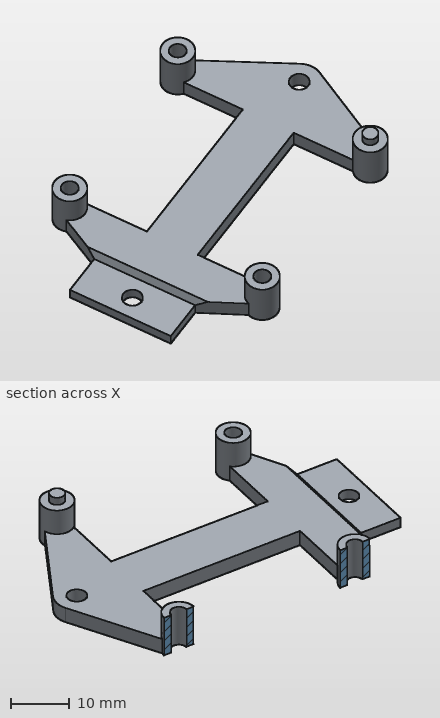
import cadquery as cq
import math

length = 63.0
width = 44.1

boss_diameter = 6.0
boss_height = 8.0
boss_bore = 3.0
pin_diameter = 2.8
pin_top = 9.5
boss_x = (width - boss_diameter) / 2
rear_boss_y = 19.15
front_boss_y = -16.45

plate_thickness = 3.0
spar_width = 10.1
rear_arm_edge_y = 17.25
front_arm_edge_y = -14.35

rear_slope_offset = 2.5
front_slope_offset = 2.25

tip_radius = 4.05
tip_y = length / 2 - tip_radius
mount_hole_diameter = 3.5

tab_thickness = 2.0
tab_width = 20.0
tab_end_y = -length / 2
tab_hole_y = -27.5
ramp_bottom_y = -23.5
ramp_run = plate_thickness - tab_thickness


def plate_outline():
    """Symmetric outline: tapered arms at both ends of a central spar."""
    half_spar = spar_width / 2
    half_tab = tab_width / 2
    rear_arm_y = rear_boss_y + rear_slope_offset
    front_arm_y = front_boss_y - front_slope_offset

    rise = tip_y - rear_arm_y
    distance = math.hypot(boss_x, rise)
    normal_angle = math.acos(tip_radius / distance) - math.atan2(rise, boss_x)
    tangent_x = tip_radius * math.cos(normal_angle)
    tangent_y = tip_y + tip_radius * math.sin(normal_angle)

    return (
        cq.Workplane("XY")
        .moveTo(-tangent_x, tangent_y)
        .threePointArc((0, length / 2), (tangent_x, tangent_y))
        .lineTo(boss_x, rear_arm_y)
        .lineTo(boss_x, rear_arm_edge_y)
        .lineTo(half_spar, rear_arm_edge_y)
        .lineTo(half_spar, front_arm_edge_y)
        .lineTo(boss_x, front_arm_edge_y)
        .lineTo(boss_x, front_arm_y)
        .lineTo(half_tab, ramp_bottom_y)
        .lineTo(half_tab, tab_end_y)
        .lineTo(-half_tab, tab_end_y)
        .lineTo(-half_tab, ramp_bottom_y)
        .lineTo(-boss_x, front_arm_y)
        .lineTo(-boss_x, front_arm_edge_y)
        .lineTo(-half_spar, front_arm_edge_y)
        .lineTo(-half_spar, rear_arm_edge_y)
        .lineTo(-boss_x, rear_arm_edge_y)
        .lineTo(-boss_x, rear_arm_y)
        .close()
    )


def cylinders(points, diameter, height):
    """Vertical cylinders standing on the base plane."""
    return cq.Workplane("XY").pushPoints(points).circle(diameter / 2).extrude(height)


def tab_relief():
    """Material above the tab and its ramp."""
    return (
        cq.Workplane("YZ")
        .moveTo(tab_end_y, tab_thickness)
        .lineTo(ramp_bottom_y, tab_thickness)
        .lineTo(ramp_bottom_y + ramp_run, plate_thickness)
        .lineTo(tab_end_y, plate_thickness)
        .close()
        .extrude(width / 2, both=True)
    )


pin_point = (boss_x, rear_boss_y)
bore_points = [(-boss_x, rear_boss_y), (-boss_x, front_boss_y), (boss_x, front_boss_y)]
mount_points = [(0, tip_y), (0, tab_hole_y)]

plate = plate_outline().extrude(plate_thickness).cut(tab_relief())
bosses = cylinders(bore_points + [pin_point], boss_diameter, boss_height)
pin = cylinders([pin_point], pin_diameter, pin_top)

result = (
    plate.union(bosses)
    .union(pin)
    .cut(cylinders(bore_points, boss_bore, boss_height))
    .cut(cylinders(mount_points, mount_hole_diameter, plate_thickness))
)